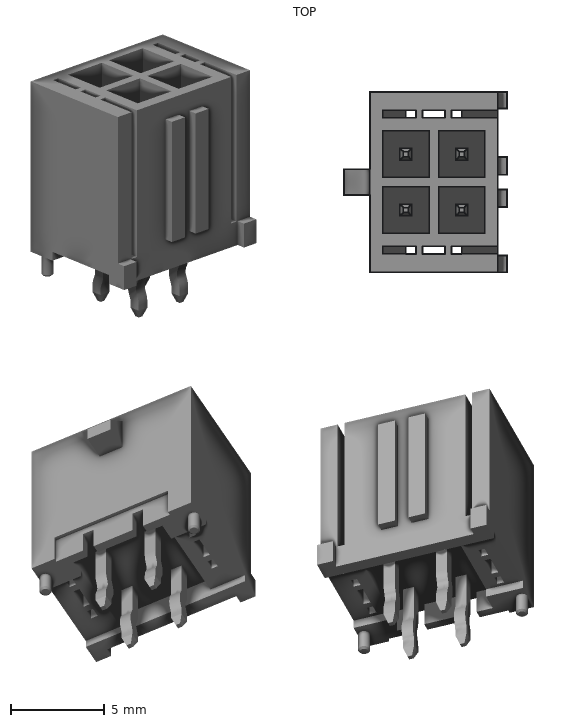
import cadquery as cq
import math


body_x = 6.88
body_y = 9.7
body_z = 9.9

pitch = 3.0
cavity = 2.49
cavity_floor = 2.62
wall = (body_x - pitch - cavity) / 2
column_x = [body_x / 2 - pitch / 2, body_x / 2 + pitch / 2]
row_y = [-pitch / 2, pitch / 2]

clearance_z = 0.51
clearance_front_x = 1.72
pocket_x = body_x - 2 * wall
pocket_y = pitch + cavity
pocket_z = 1.39

recess_depth = 0.21
recess_y = 6.92
recess_z = 1.81

slot_inner_y = recess_y / 2
slot_width = 0.39
slot_floor = pocket_z
middle_slot_x = 1.19
bar = 0.37

latch_reach = 1.39
latch_y = 1.4
latch_bottom = 7.1
latch_nose_top = 7.93
latch_top = 9.3

rear_reach = 0.5
foot_y = 0.9
foot_z = 1.39
rib_inner_y = 0.39
rib_y = 0.95
rib_bottom = 1.81
rib_top = 8.79

peg_diameter = 0.65
peg_length = 1.15
peg_chamfer = 0.1
peg_x = 0.97
peg_y = body_y / 2 - peg_diameter / 2

pin_width = 0.64
pin_top = 7.34
pin_bottom = -3.2
tip_length = 0.51
tip_width = 0.26
bend_top = -0.6
bend_bottom = -2.36
bend_angle = math.radians(23.5)
bend_radius = 1.5 * pin_width


def block(x0, x1, y0, y1, z0, z1):
    """Axis-aligned box between two opposite corners."""
    return cq.Workplane("XY").box(x1 - x0, y1 - y0, z1 - z0, centered=False).translate((x0, y0, z0))


def make_latch():
    profile = [
        (0, latch_bottom),
        (-latch_reach, latch_bottom),
        (-latch_reach, latch_nose_top),
        (0, latch_top),
    ]
    return cq.Workplane("XZ").polyline(profile).close().extrude(latch_y / 2, both=True)


def add_rear_supports(housing):
    """Two feet at the outer corners and two upright ribs near the middle."""
    back = body_x + rear_reach
    for side in (-1, 1):
        foot_mid = side * (body_y / 2 - foot_y / 2)
        rib_mid = side * (rib_inner_y + rib_y / 2)
        foot = block(body_x - wall, back, foot_mid - foot_y / 2, foot_mid + foot_y / 2, 0, foot_z)
        rib = block(body_x - wall, back, rib_mid - rib_y / 2, rib_mid + rib_y / 2, rib_bottom, rib_top)
        housing = housing.union(foot).union(rib)
    return housing


def add_pegs(housing):
    for side in (-1, 1):
        peg = (
            cq.Workplane("XY", origin=(peg_x, side * peg_y, clearance_z))
            .circle(peg_diameter / 2)
            .extrude(-peg_length - clearance_z)
            .faces("<Z")
            .chamfer(peg_chamfer)
        )
        housing = housing.union(peg)
    return housing


def cut_contact_openings(housing):
    """A square cavity above the floor and a close-fitting pin hole through it."""
    for x in column_x:
        for y in row_y:
            cavity_box = block(
                x - cavity / 2, x + cavity / 2, y - cavity / 2, y + cavity / 2, cavity_floor, body_z
            )
            hole = block(
                x - pin_width / 2, x + pin_width / 2, y - pin_width / 2, y + pin_width / 2, 0, cavity_floor
            )
            housing = housing.cut(cavity_box).cut(hole)
    return housing


def cut_underside(housing):
    half_y = body_y / 2
    clearance = block(clearance_front_x, body_x - wall, -half_y, half_y, 0, clearance_z)
    pocket = block(wall, wall + pocket_x, -pocket_y / 2, pocket_y / 2, 0, pocket_z)
    return housing.cut(clearance).cut(pocket)


def cut_front_recess(housing):
    """A shallow recess, with one slot per pin row through the wall behind it."""
    housing = housing.cut(block(0, recess_depth, -recess_y / 2, recess_y / 2, 0, recess_z))
    for y in row_y:
        housing = housing.cut(block(0, wall, y - pin_width / 2, y + pin_width / 2, 0, pocket_z))
    return housing


def cut_side_slots(housing):
    """Three slots per side; they pass right through between the two pin columns."""
    middle_start = body_x / 2 - middle_slot_x / 2
    middle_end = body_x / 2 + middle_slot_x / 2
    front_end = middle_start - bar
    rear_start = middle_end + bar
    spans = [
        (wall, front_end, slot_floor),
        (column_x[0], front_end, 0),
        (middle_start, middle_end, 0),
        (rear_start, column_x[1], 0),
        (rear_start, body_x, slot_floor),
    ]
    for side in (-1, 1):
        slot_mid = side * (slot_inner_y + slot_width / 2)
        for x0, x1, floor in spans:
            slot = block(x0, x1, slot_mid - slot_width / 2, slot_mid + slot_width / 2, floor, body_z)
            housing = housing.cut(slot)
    return housing


def make_housing():
    housing = block(0, body_x, -body_y / 2, body_y / 2, 0, body_z)
    housing = housing.union(make_latch())
    housing = add_rear_supports(housing)
    housing = add_pegs(housing)
    housing = cut_underside(housing)
    housing = cut_front_recess(housing)
    housing = cut_contact_openings(housing)
    return cut_side_slots(housing).solids()


def pin_side(offset):
    """Points down one side of the kinked pin; offset is its distance from the centreline along X.

    The kink bulges toward +X: an arc away from straight, a slanted line, an arc over the crest,
    then the same stretches mirrored about the crest height.
    """
    crest_z = (bend_top + bend_bottom) / 2
    sine = math.sin(bend_angle)
    cosine = math.cos(bend_angle)
    half_sine = math.sin(bend_angle / 2)
    half_cosine = math.cos(bend_angle / 2)
    slant_drop = (bend_top - crest_z) - 2 * bend_radius * sine
    crest_x = 2 * bend_radius * (1 - cosine) + slant_drop * math.tan(bend_angle)

    entry_radius = bend_radius - offset
    crest_radius = bend_radius + offset
    entry_center = bend_radius
    crest_center = crest_x - bend_radius
    upper = [
        (offset, bend_top),
        (entry_center - entry_radius * half_cosine, bend_top - entry_radius * half_sine),
        (entry_center - entry_radius * cosine, bend_top - entry_radius * sine),
        (crest_center + crest_radius * cosine, crest_z + crest_radius * sine),
    ]
    lower = [(x, 2 * crest_z - z) for x, z in reversed(upper)]
    crest = (crest_center + crest_radius, crest_z)
    return upper + [crest] + lower


def trace_side(sketch, points):
    """Draw the arc, line, arc, line, arc of one pin side from its first point onward."""
    _, entry_mid, entry_end, crest_start, crest, crest_end, exit_start, exit_mid, exit_end = points
    return (
        sketch.threePointArc(entry_mid, entry_end)
        .lineTo(*crest_start)
        .threePointArc(crest, crest_end)
        .lineTo(*exit_start)
        .threePointArc(exit_mid, exit_end)
    )


def make_tip(base_z, direction):
    """Square tip that tapers from base_z up (direction 1) or down (direction -1)."""
    return (
        cq.Workplane("XY", origin=(0, 0, base_z))
        .rect(pin_width, pin_width)
        .workplane(offset=direction * tip_length)
        .rect(tip_width, tip_width)
        .loft(combine=True)
    )


def make_pin(x, y, bulge):
    """One pin at (x, y); bulge is 1 for a kink toward +X and -1 for one toward -X."""
    half = pin_width / 2
    shank_top = pin_top - tip_length
    shank_bottom = pin_bottom + tip_length
    sketch = cq.Workplane("XZ").moveTo(-half, shank_top).lineTo(-half, bend_top)
    sketch = trace_side(sketch, pin_side(-half))
    sketch = sketch.lineTo(-half, shank_bottom).lineTo(half, shank_bottom).lineTo(half, bend_bottom)
    sketch = trace_side(sketch, pin_side(half)[::-1])
    shank = sketch.lineTo(half, shank_top).close().extrude(half, both=True)
    pin = shank.union(make_tip(shank_top, 1)).union(make_tip(shank_bottom, -1))
    if bulge < 0:
        pin = pin.mirror("YZ")
    return pin.translate((x, y, 0)).solids()


housing = make_housing()

pins = []
for column, bulge in zip(column_x, (1, -1)):
    for row in row_y:
        pins.append(make_pin(column, row, bulge).val())

result = cq.Compound.makeCompound([housing.val(), *pins])